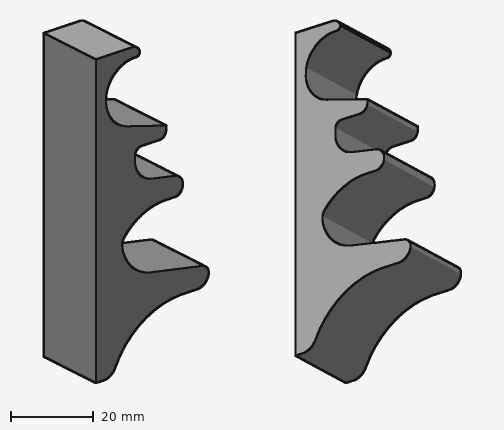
import cadquery as cq

WIDTH = 20.0
HEIGHT = 86
REACH = 35.3

LOW_UNDERSIDE = 15.9
MIDDLE_UNDERSIDE = 42.4
UPPER_UNDERSIDE = 58.9
TOP_UNDERSIDE = 83.0

MIDDLE_REACH = 27.2
UPPER_REACH = 22.0
TOP_REACH = 13.8

LOW_WALL = 8.25
MIDDLE_WALL = 12.2
TOP_WALL = 3.2


def add_low_prong(outline):
    """Rounded foot, swept underside, round tip and sloping upper face."""
    return (
        outline.lineTo(2.6, 0)
        .threePointArc((4.7, 0.8), (6.2, 2.6))
        .threePointArc((14.2, 11.95), (26.7, LOW_UNDERSIDE))
        .lineTo(31.65, LOW_UNDERSIDE)
        .threePointArc((34.1, 16.9), (REACH, 19.2))
        .threePointArc((34.7, 20.9), (33.3, 21.7))
        .lineTo(17.4, 24.5)
    )


def add_middle_prong(outline):
    """Hollow with a small bend at its back, then a round-tipped prong."""
    return (
        outline.threePointArc((11.2, 27.8), (LOW_WALL, 33.8))
        .threePointArc((8.3, 35.0), (8.8, 36.0))
        .threePointArc((14.6, 40.8), (22.1, MIDDLE_UNDERSIDE))
        .lineTo(24.85, MIDDLE_UNDERSIDE)
        .threePointArc((26.5, 43.3), (MIDDLE_REACH, 45.0))
        .threePointArc((26.4, 47.1), (24.5, 48.1))
        .lineTo(17.4, 49.4)
    )


def add_upper_prong(outline):
    """Small hollow, then a prong with a blunt tip rounded only below."""
    return (
        outline.threePointArc((13.85, 51.3), (MIDDLE_WALL, 55))
        .lineTo(MIDDLE_WALL, 56.9)
        .threePointArc((12.7, 58.2), (14.45, UPPER_UNDERSIDE))
        .lineTo(19.8, UPPER_UNDERSIDE)
        .threePointArc((21.4, 59.6), (UPPER_REACH, 61.1))
        .lineTo(UPPER_REACH, 62.2)
        .lineTo(9.7, 65.45)
    )


def add_top_prong(outline):
    """Large round hollow, then a short prong flush with the top face."""
    return (
        outline.threePointArc((TOP_WALL, 74.2), (12.1, TOP_UNDERSIDE))
        .lineTo(12.7, TOP_UNDERSIDE)
        .threePointArc((13.4, 83.3), (TOP_REACH, 84.1))
        .threePointArc((13.0, 85.4), (11.2, HEIGHT))
        .lineTo(0, HEIGHT)
    )


outline = cq.Workplane("YZ").moveTo(0, 0)
for add_prong in (add_low_prong, add_middle_prong, add_upper_prong, add_top_prong):
    outline = add_prong(outline)

result = outline.close().extrude(WIDTH)